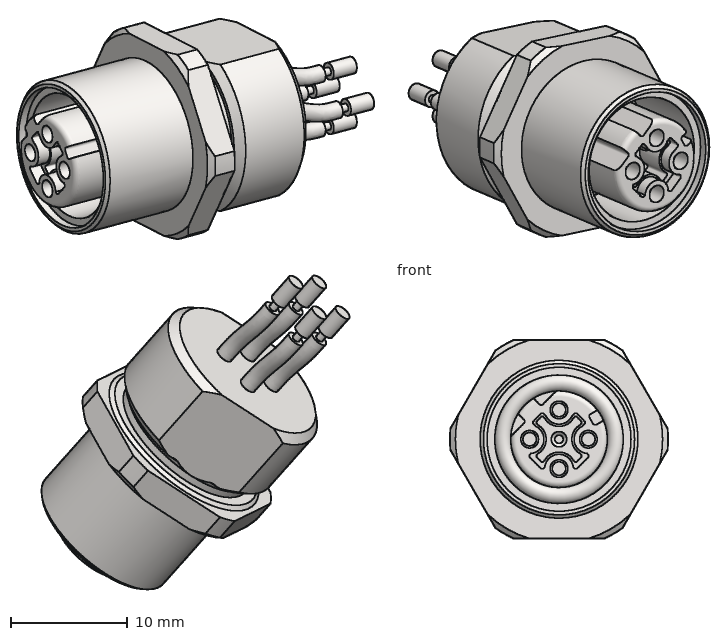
import cadquery as cq
import math


shell_front = 1.45
nut_front = 10.48
nut_back = 13.02
collar_back = 13.3
undercut_end = 14.0
housing_front = 14.45
housing_back = 22.02
wire_end = 32.15

shell_radius = 13.5 / 2
shell_chamfer = 0.3
mouth_radius = 12.3 / 2
mouth_depth = 0.77
bore_radius = 11.0 / 2
bore_floor = nut_front

nut_flats = 17.0
nut_corner_radius = 18.68 / 2
nut_chamfer = 0.48
nut_turn = 30
collar_radius = 8.05
collar_chamfer = collar_back - nut_back
collar_step = 0.1

housing_radius = 8.0
housing_chamfer = 0.7
housing_flats = 2 * shell_radius
neck_radius = 6.98

insert_radius = 8.25 / 2
insert_fillet = 0.48
key_angle = 135
key_flat_distance = 3.1
key_half_width = 0.93
key_root_fillet = 0.2
key_edge_margin = 0.03
groove_angle = 30
groove_floor_distance = 3.18
groove_width = 1.03
groove_fillet = 0.23

contact_distance = 2.5
contact_angles = (0, 90, 180, 270)
contact_mouth_diameter = 1.5
contact_mouth_depth = 1.93
contact_hole_diameter = 1.15
contact_hole_depth = 4.82

cross_depth = 1.2
cross_arm_half_width = 0.6
cross_arm_length = 2.65
cross_arm_fillet = 0.13
relief_radius = 1.22
step_relief_radius = 1.4
cross_step_inset = 0.21
cross_step_depth = 2.9
tee_start = 1.93
tee_end = 2.85
tee_half_width = 0.85
tee_fillet = 0.2
tee_angles = (225, 315)
centre_hole_diameter = 0.7
centre_sink_diameter = 1.32
centre_hole_depth = 0.95

wire_diameter = 1.5
core_diameter = 0.7
wire_root = housing_back - housing_chamfer
bend_start = 22.63
bend_end = 28.15
sleeve_end = 28.85
cap_start = 29.7
wire_drop = 1.2


def turned(points):
    """Solid of revolution about the Y axis from (radius, y) points."""
    return cq.Workplane("XY").polyline(points).close().revolve(360, (0, 0, 0), (0, 1, 0))


def section(y):
    """Workplane across the axis at y; local x is X and local y is Z; extrude negative to go along +Y."""
    return cq.Workplane("XZ", origin=(0, y, 0))


def rod(radius, y_start, y_end):
    return section(y_start).circle(radius).extrude(y_start - y_end)


def radial_bar(angle, start, end, half_width, y_start, y_end):
    """Bar reaching from start to end along a radius at the given angle from +X towards +Z."""
    bar = section(y_start).center((start + end) / 2, 0).rect(end - start, 2 * half_width)
    return bar.extrude(y_start - y_end).rotate((0, 0, 0), (0, 1, 0), -angle)


def contact_positions():
    return [
        (contact_distance * math.cos(math.radians(a)), contact_distance * math.sin(math.radians(a)))
        for a in contact_angles
    ]


def make_shell():
    return turned([
        (0, bore_floor),
        (bore_radius, bore_floor),
        (bore_radius, shell_front + mouth_depth),
        (mouth_radius, shell_front + mouth_depth),
        (mouth_radius, shell_front),
        (shell_radius - shell_chamfer, shell_front),
        (shell_radius, shell_front + shell_chamfer),
        (shell_radius, undercut_end),
        (0, undercut_end),
    ])


def make_seal_ring():
    """O-ring lying half sunk in the bore floor, filling the gap between insert and bore."""
    ring_radius = (bore_radius + insert_radius) / 2
    cord_radius = (bore_radius - insert_radius) / 2
    cord = cq.Workplane("XY").center(ring_radius, bore_floor).circle(cord_radius)
    return cord.revolve(360, (-ring_radius, 0, 0), (-ring_radius, 1, 0))


def make_nut():
    hexagon = section(nut_front).polygon(6, nut_flats, circumscribed=True).extrude(nut_front - nut_back)
    hexagon = hexagon.rotate((0, 0, 0), (0, 1, 0), nut_turn)
    corner_limit = turned([
        (0, nut_front),
        (nut_corner_radius - nut_chamfer, nut_front),
        (nut_corner_radius, nut_front + nut_chamfer),
        (nut_corner_radius, nut_back),
        (0, nut_back),
    ])
    collar = turned([
        (0, nut_back),
        (collar_radius, nut_back),
        (collar_radius - collar_chamfer - collar_step, collar_back),
        (0, collar_back),
    ])
    return hexagon.intersect(corner_limit).union(collar)


def make_housing():
    return turned([
        (0, undercut_end),
        (shell_radius, undercut_end),
        (neck_radius, housing_front),
        (housing_radius - housing_chamfer, housing_front),
        (housing_radius, housing_front + housing_chamfer),
        (housing_radius, housing_back - housing_chamfer),
        (housing_radius - housing_chamfer, housing_back),
        (0, housing_back),
    ])


def trim_flats(body):
    """Cut the two flats above and below everything behind the nut."""
    slab = (
        cq.Workplane("XY", origin=(0, (collar_back + housing_back) / 2, 0))
        .box(2 * housing_radius, housing_back - collar_back, housing_flats)
    )
    return body.intersect(slab)


def key_cut():
    """Flat across the insert rim that leaves a central key standing."""
    rim = radial_bar(0, key_flat_distance, 2 * insert_radius, insert_radius, 0, bore_floor)
    key = radial_bar(0, 0, 2 * insert_radius, key_half_width, 0, bore_floor)
    cut = rim.cut(key)
    inner_side = cq.selectors.BoxSelector(
        (key_flat_distance - key_edge_margin, 0, -key_half_width - key_edge_margin),
        (key_flat_distance + key_edge_margin, bore_floor, key_half_width + key_edge_margin),
    )
    cut = cut.edges(inner_side).edges("|Y").fillet(key_root_fillet)
    return cut.rotate((0, 0, 0), (0, 1, 0), -key_angle)


def groove_cut():
    groove = radial_bar(0, groove_floor_distance, 2 * insert_radius, groove_width / 2, 0, bore_floor)
    groove = groove.edges("|Y and <X").fillet(groove_fillet)
    return groove.rotate((0, 0, 0), (0, 1, 0), -groove_angle)


def rounded_bar(angle, start, end, half_width, fillet, y_start, y_end):
    """Radial bar with its long edges rounded."""
    bar = radial_bar(0, start, end, half_width, y_start, y_end).edges("|Y").fillet(fillet)
    return bar.rotate((0, 0, 0), (0, 1, 0), -angle)


def cross_prism(inset, y_start, y_end):
    """Square hub with four diagonal arms, drawn in by inset at the sides and ends of the arms."""
    hub_half_side = contact_distance / math.sqrt(2)
    half_width = cross_arm_half_width - inset
    length = cross_arm_length - inset
    cross = radial_bar(45, -hub_half_side, hub_half_side, hub_half_side, y_start, y_end)
    for angle in (45, 135):
        cross = cross.union(rounded_bar(angle, -length, length, half_width, cross_arm_fillet, y_start, y_end))
    return cross


def contact_reliefs(radius, y_start, y_end):
    """Round bosses about the contacts that stay standing when the cross is cut."""
    return section(y_start).pushPoints(contact_positions()).circle(radius).extrude(y_start - y_end)


def shield_cut():
    cut = cross_prism(0, 0, cross_depth)
    for angle in tee_angles:
        cut = cut.union(rounded_bar(angle, tee_start, tee_end, tee_half_width, tee_fillet, 0, cross_depth))
    cut = cut.cut(contact_reliefs(relief_radius, 0, cross_depth))
    step_floor = cross_depth + cross_step_depth
    step = cross_prism(cross_step_inset, cross_depth, step_floor)
    step = step.cut(contact_reliefs(step_relief_radius, cross_depth, step_floor))
    cut = cut.union(step)
    sink_depth = (centre_sink_diameter - centre_hole_diameter) / 2
    sink = turned([
        (0, step_floor),
        (centre_sink_diameter / 2, step_floor),
        (centre_hole_diameter / 2, step_floor + sink_depth),
        (0, step_floor + sink_depth),
    ])
    hole = rod(centre_hole_diameter / 2, step_floor, step_floor + centre_hole_depth)
    return cut.union(sink).union(hole)


def make_insert():
    insert = rod(insert_radius, 0, housing_front).faces("<Y").edges().fillet(insert_fillet)
    insert = insert.cut(key_cut()).cut(groove_cut()).cut(shield_cut())
    for x, z in contact_positions():
        mouth = rod(contact_mouth_diameter / 2, 0, contact_mouth_depth)
        hole = rod(contact_hole_diameter / 2, 0, contact_hole_depth)
        insert = insert.cut(mouth.union(hole).translate((x, 0, z)))
    return insert


def make_wire():
    """Wire leaving the housing on the axis, dropping through an S-bend to a stripped end."""
    along_axis = (1, 0)
    bend_points = [(bend_start, 0), (bend_end, -wire_drop)]
    path = (
        cq.Workplane("YZ")
        .moveTo(wire_root, 0)
        .lineTo(bend_start, 0)
        .spline(bend_points, tangents=[along_axis, along_axis])
        .lineTo(sleeve_end, -wire_drop)
    )
    insulation = section(wire_root).circle(wire_diameter / 2).sweep(path)
    tail = (
        rod(core_diameter / 2, sleeve_end, cap_start)
        .union(rod(wire_diameter / 2, cap_start, wire_end))
        .translate((0, 0, -wire_drop))
    )
    return insulation.union(tail)


result = trim_flats(make_housing())
for part in (make_shell(), make_nut(), make_seal_ring(), make_insert()):
    result = result.union(part)
for x, z in contact_positions():
    result = result.union(make_wire().translate((x, 0, z)))